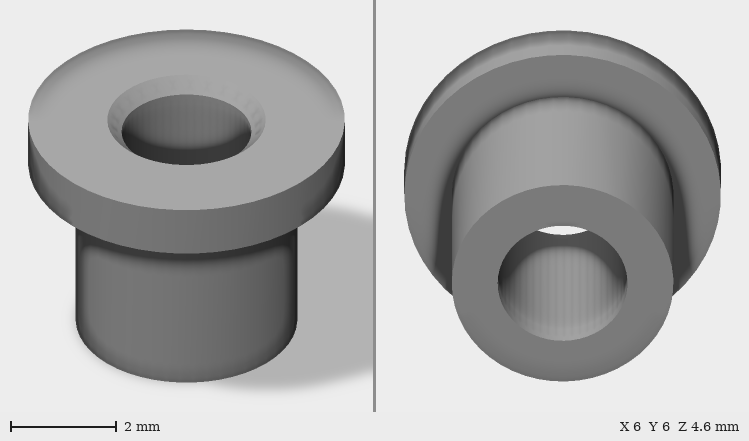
import cadquery as cq

flange_diameter = 6
flange_thickness = 1.0
sleeve_diameter = 4.2
sleeve_length = 3.6
bore_diameter = 2.46
bore_mouth_diameter = 3

total_height = sleeve_length + flange_thickness
mouth_depth = (bore_mouth_diameter - bore_diameter) / 2

sleeve = cq.Workplane("XY").circle(sleeve_diameter / 2).extrude(sleeve_length)
flange = (
    cq.Workplane("XY", origin=(0, 0, sleeve_length))
    .circle(flange_diameter / 2)
    .extrude(flange_thickness)
)

bore = (
    cq.Workplane("XY")
    .circle(bore_diameter / 2)
    .extrude(total_height)
)
mouth = cq.Workplane("XY").add(
    cq.Solid.makeCone(
        bore_diameter / 2,
        bore_mouth_diameter / 2,
        mouth_depth,
        pnt=cq.Vector(0, 0, total_height - mouth_depth),
    )
)

result = sleeve.union(flange).cut(bore).cut(mouth)